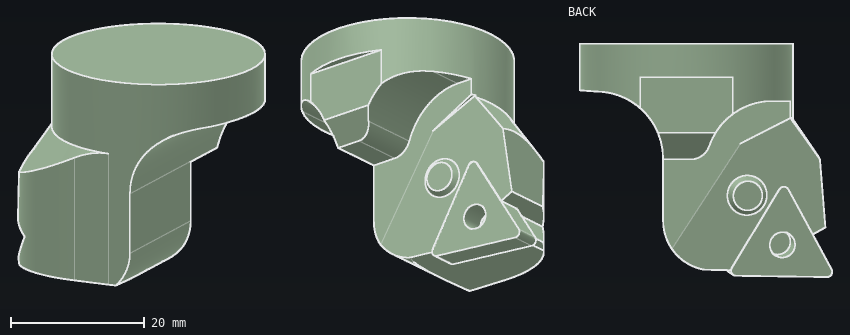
import cadquery as cq
import math

FAR = 56.8

shank_radius = 32.0 / 2
head_shift = 5.75
head_depth = 37.87
cone_top_z = -11.35
cone_angle = 34.3

relief_x = 3.52
relief_radius = 10.0
relief_center_z = -17.2
relief_edge_z = -7.0
corner_radius = 7.5
corner_center_z = -26.5

bottom_z = -33.55
bottom_slope_x = 0.026
bottom_slope_y = -0.105

facet_x = -18.15
facet_slope_y = -0.135
facet_slope_z = 0.095

gullet_y = 3.75
gullet_top_z = -8.6
gullet_center_x = -12.88
gullet_radius = 10.0
gullet_round_z = -15.35
gullet_round_radius = 3.0
back_flat_y = 14.43
back_flat_z = -5.05
back_chamfer_z = -13.35
back_chamfer_end_y = 12.08
back_chamfer_end_z = -17.4

rake_y = 6.4
rake_slope_x = 0.149
rake_slope_z = 0.097
rake_end_x = -15.9
rake_end_z = -11
rake_end_angle = 27

insert_side = 16.5
insert_height = insert_side * math.sin(math.radians(60))
insert_thickness = 4.77
insert_nose_radius = 0.8
insert_hole_diameter = 3.82
insert_raise = 0.23
insert_corner_x = -22.4
insert_corner_z = -35.0
insert_tilt = 0.014

clearance_setback = 0.75
clearance_length = 7.35
clearance_chamfer_start = 2.65

boss_diameter = 6.0
boss_height = 0.8
boss_taper = 45
boss_x = -9.1
boss_z = -22.72


def rake_point(x, z):
    """Point of the rake face at the given X and Z."""
    return cq.Vector(x, rake_y + rake_slope_x * x + rake_slope_z * z, z)


rake_normal = cq.Vector(-rake_slope_x, 1, -rake_slope_z).normalized()


def rake_plane(x, z, tilt=0):
    """Plane on the rake face, with local X along +X and local Y pointing down."""
    direction = cq.Vector(1, rake_slope_x + rake_slope_z * tilt, tilt)
    return cq.Plane(origin=rake_point(x, z), xDir=direction, normal=rake_normal)


def half_space(origin, normal):
    """Large block on the side of a plane toward which the normal points."""
    plane = cq.Plane(origin=origin, normal=normal)
    return cq.Workplane(plane).rect(4 * FAR, 4 * FAR).extrude(2 * FAR)


def make_head_blank():
    """Shank joined to a wider, shifted head by a conical flare."""
    slot_length = head_shift + 2 * shank_radius
    head = (
        cq.Workplane("XY")
        .center(-head_shift / 2, 0)
        .slot2D(slot_length, 2 * shank_radius)
        .extrude(-head_depth)
    )
    cone_radius = shank_radius + (head_depth + cone_top_z) * math.tan(math.radians(cone_angle))
    envelope = (
        cq.Workplane("XZ")
        .polyline([
            (0, 0),
            (shank_radius, 0),
            (shank_radius, cone_top_z),
            (cone_radius, -head_depth),
            (0, -head_depth),
        ])
        .close()
        .revolve(360, (0, 0), (0, 1))
    )
    return head.intersect(envelope)


def make_back_relief():
    """Region removed behind and below the head, swept along Y."""
    center_x = relief_x + relief_radius
    corner_center_x = relief_x - corner_radius
    diagonal = math.sqrt(0.5)
    return (
        cq.Workplane("XZ")
        .moveTo(FAR, relief_edge_z)
        .lineTo(shank_radius, relief_edge_z)
        .lineTo(center_x, relief_center_z + relief_radius)
        .threePointArc(
            (center_x - relief_radius * diagonal, relief_center_z + relief_radius * diagonal),
            (relief_x, relief_center_z),
        )
        .lineTo(relief_x, corner_center_z)
        .threePointArc(
            (corner_center_x + corner_radius * diagonal, corner_center_z - corner_radius * diagonal),
            (corner_center_x, corner_center_z - corner_radius),
        )
        .lineTo(corner_center_x, -FAR)
        .lineTo(FAR, -FAR)
        .close()
        .extrude(FAR, both=True)
    )


def make_gullet():
    """Scooped chip space, open toward -X and downward, beyond the gullet wall."""
    center_z = gullet_top_z - gullet_radius
    round_angle = math.asin((gullet_round_z - center_z) / gullet_radius)
    middle_angle = (math.pi / 2 + round_angle) / 2

    def scoop_point(radius, angle):
        return (gullet_center_x + radius * math.cos(angle), center_z + radius * math.sin(angle))

    round_center_x, round_center_z = scoop_point(gullet_radius + gullet_round_radius, round_angle)
    round_middle_angle = (math.pi + round_angle + 1.5 * math.pi) / 2
    round_middle = (
        round_center_x + gullet_round_radius * math.cos(round_middle_angle),
        round_center_z + gullet_round_radius * math.sin(round_middle_angle),
    )
    gullet_bottom_z = round_center_z - gullet_round_radius
    return (
        cq.Workplane("XZ", origin=(0, gullet_y, 0))
        .moveTo(-FAR, gullet_top_z)
        .lineTo(gullet_center_x, gullet_top_z)
        .threePointArc(scoop_point(gullet_radius, middle_angle), scoop_point(gullet_radius, round_angle))
        .threePointArc(round_middle, (round_center_x, gullet_bottom_z))
        .lineTo(FAR, gullet_bottom_z)
        .lineTo(FAR, -FAR)
        .lineTo(-FAR, -FAR)
        .close()
        .extrude(-FAR)
    )


def make_back_trim():
    """Flat and chamfer on the +Y side below the shank rim."""
    return (
        cq.Workplane("YZ")
        .polyline([
            (FAR, back_flat_z),
            (back_flat_y, back_flat_z),
            (back_flat_y, back_chamfer_z),
            (back_chamfer_end_y, back_chamfer_end_z),
            (FAR, back_chamfer_end_z),
        ])
        .close()
        .extrude(FAR, both=True)
    )


def make_rake_cut():
    """Region in front of the rake face, below its sloping end wall and inside the gullet wall."""
    angle = math.radians(rake_end_angle)
    below_end = half_space((rake_end_x, 0, rake_end_z), (-math.sin(angle), 0, -math.cos(angle)))
    inside_wall = half_space((0, gullet_y, 0), (0, -1, 0))
    above_face = half_space(rake_point(0, 0), rake_normal.toTuple())
    return above_face.intersect(below_end).intersect(inside_wall)


def make_boss():
    """Tapered round boss standing on the rake face."""
    return (
        cq.Workplane(rake_plane(boss_x, boss_z))
        .circle(boss_diameter / 2)
        .extrude(boss_height, taper=boss_taper)
    )


insert_workplane = cq.Workplane(
    rake_plane(insert_corner_x, insert_corner_z, insert_tilt)
).workplane(offset=insert_raise)


def insert_blank():
    """Triangular plate with rounded corners, without its hole."""
    return (
        insert_workplane
        .polyline([(0, 0), (insert_side, 0), (insert_side / 2, -insert_height)])
        .close()
        .extrude(-insert_thickness)
        .edges(cq.selectors.ParallelDirSelector(rake_normal))
        .fillet(insert_nose_radius)
    )


def make_insert():
    hole = (
        insert_workplane
        .center(insert_side / 2, -insert_height / 3)
        .circle(insert_hole_diameter / 2)
        .extrude(-insert_thickness)
    )
    return insert_blank().cut(hole)


def make_clearance():
    """Notch along the insert's free edge, ending in a square step."""
    cos60 = math.cos(math.radians(60))
    sin60 = math.sin(math.radians(60))
    tan30 = math.tan(math.radians(30))

    def edge_point(along, inward):
        return (along * cos60 + inward * sin60, -(along * sin60 - inward * cos60))

    return (
        insert_workplane
        .polyline([
            edge_point(clearance_length, -FAR),
            edge_point(clearance_length, clearance_setback),
            edge_point(clearance_chamfer_start, clearance_setback),
            edge_point(clearance_chamfer_start - FAR * tan30, clearance_setback + FAR),
            edge_point(-FAR, -FAR),
        ])
        .close()
        .extrude(-FAR)
    )


def make_holder():
    bottom_normal = (bottom_slope_x, bottom_slope_y, -1)
    facet_normal = (-1, facet_slope_y, facet_slope_z)
    return (
        make_head_blank()
        .cut(make_back_relief())
        .cut(half_space((0, 0, bottom_z), bottom_normal))
        .cut(half_space((facet_x, 0, 0), facet_normal))
        .cut(make_gullet())
        .cut(make_back_trim())
        .cut(make_rake_cut())
        .union(make_boss())
        .cut(make_clearance())
        .cut(insert_blank())
    )


holder = make_holder()
insert = make_insert()
result = cq.Compound.makeCompound([holder.val(), insert.val()])